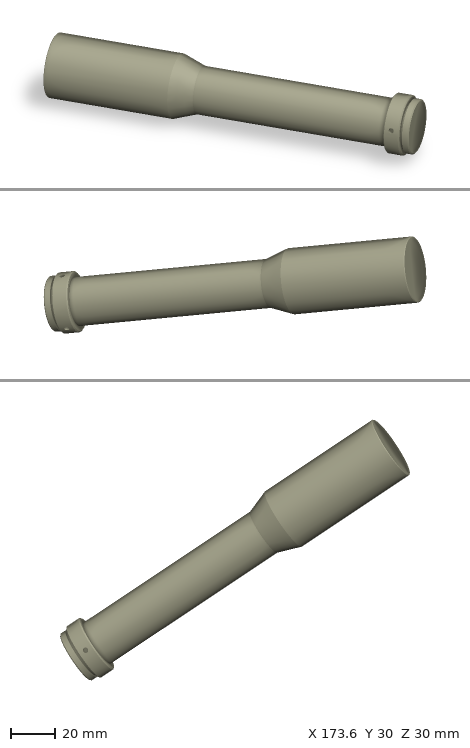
import cadquery as cq

total_length = 173.6
handle_length = 59.2
taper_end = 70.1
collar_start = 161.8
collar_end = 169.5
flange_start = 170.5

handle_diameter = 30.0
handle_radius = handle_diameter / 2
tube_radius = 11.1
collar_radius = 13.9
groove_radius = 11.5
flange_radius = 12.7

handle_chamfer = 0.3
collar_chamfer = 0.5
flange_chamfer = 0.5

hole_diameter = 2.5
hole_depth = 2.0
hole_count = 3
first_hole_angle = 45.0
hole_x = (collar_start + collar_end) / 2


def disc(start, end, radius):
    """Solid cylinder on the X axis between two stations."""
    return cq.Workplane("YZ").workplane(offset=start).circle(radius).extrude(end - start)


def make_handle_and_tube():
    """Thick handle that tapers down to the long tube."""
    return (
        cq.Workplane("XY")
        .moveTo(0, 0)
        .lineTo(0, handle_radius - handle_chamfer)
        .lineTo(handle_chamfer, handle_radius)
        .lineTo(handle_length, handle_radius)
        .lineTo(taper_end, tube_radius)
        .lineTo(collar_start, tube_radius)
        .lineTo(collar_start, 0)
        .close()
        .revolve(360, (0, 0, 0), (1, 0, 0))
    )


def make_collar():
    """Collar with both rims chamfered and evenly spaced radial blind holes."""
    collar = disc(collar_start, collar_end, collar_radius).edges().chamfer(collar_chamfer)
    drill = (
        cq.Workplane("XZ", origin=(hole_x, collar_radius - hole_depth, 0))
        .circle(hole_diameter / 2)
        .extrude(-2 * hole_depth)
    )
    for index in range(hole_count):
        angle = first_hole_angle + index * 360 / hole_count
        collar = collar.cut(drill.rotate((0, 0, 0), (1, 0, 0), angle))
    return collar


def make_end_flange():
    """Chamfered end flange, joined to the collar by a narrow groove floor."""
    groove_floor = disc(collar_end, flange_start, groove_radius)
    flange = disc(flange_start, total_length, flange_radius).faces(">X").edges().chamfer(flange_chamfer)
    return groove_floor.union(flange)


result = make_handle_and_tube().union(make_collar()).union(make_end_flange())